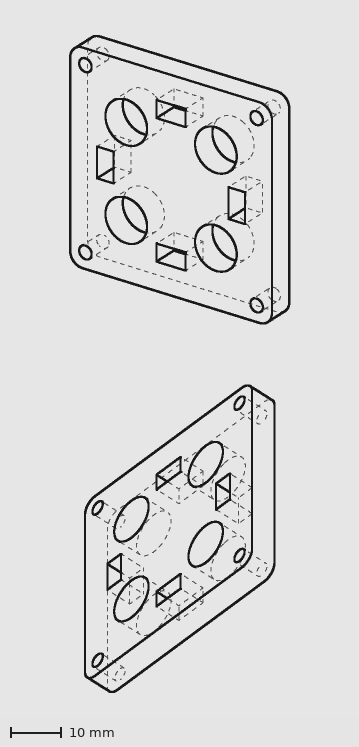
import cadquery as cq

side = 48.5
thickness = 6.0
corner_radius = 3.0

screw_hole_diameter = 3.0
screw_hole_offset = 20.55
large_hole_diameter = 10.0
large_hole_offset = 10.75
slot_length = 7.0
slot_width = 4.0
slot_offset = 15.75


def drill_square_pattern(body, diameter, offset):
    """Drill one through hole in each quadrant, offset equally along X and Z."""
    return (
        body.faces("<Y").workplane(origin=(0, 0, 0))
        .rect(2 * offset, 2 * offset, forConstruction=True)
        .vertices()
        .hole(diameter)
    )


def make_slot_cutter(angle):
    """Rectangular through cutter, turned about the plate axis."""
    return (
        cq.Workplane("XY")
        .box(slot_length, thickness, slot_width)
        .translate((0, 0, slot_offset))
        .rotate((0, 0, 0), (0, 1, 0), angle)
    )


plate = cq.Workplane("XY").box(side, thickness, side)
plate = plate.edges("|Y").fillet(corner_radius)

plate = drill_square_pattern(plate, screw_hole_diameter, screw_hole_offset)
plate = drill_square_pattern(plate, large_hole_diameter, large_hole_offset)

for slot_angle in (0, 90, 180, 270):
    plate = plate.cut(make_slot_cutter(slot_angle))

result = plate